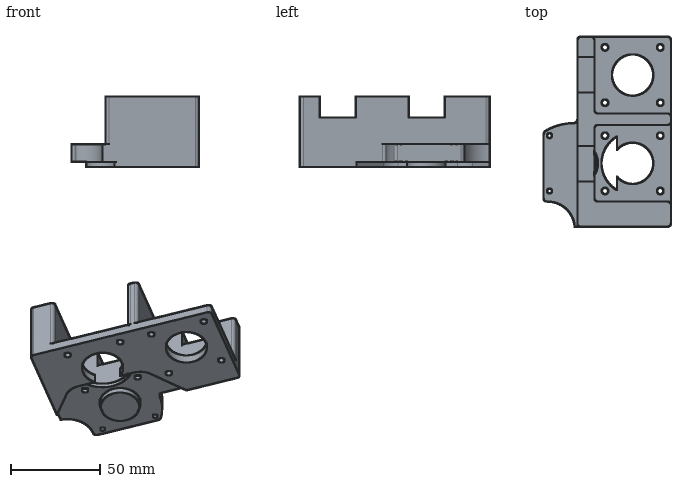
import cadquery as cq
import math

length_y = 106.5
total_x = 71.5
height = 39.7
wall_x = 19.0
wall_thickness = 9.6
wall_inner_x = wall_x + wall_thickness
plate_thickness = 6.0
corner_radius = 2.0

motor_x = 50.0
front_motor_y = 35.6
rear_motor_y = 85.0
bay_width = 42.9
rear_bay_start = 63.5
motor_bore = 23.0
screw_spacing = 31.0
screw_hole = 3.5

notch_width = 20.0
notch_depth = 11.8
notch_starts = (25.3, 75.2)

flange_bottom = 3.0
flange_top = 13.0
flange_hole = 2.7
flange_hole_x = 3.4
scallop_radius = 15.0
scallop_x = 2.5
scallop_y = -1.0
flange_rear_y = 53.7
flange_shoulder = (1.2, 53.8)
flange_crown = (6.9, 56.4)
flange_neck = (17.3, 58.1)
flange_root_y = 60.2

recess_depth = flange_bottom
recess_end_x = 41.1
recess_rear_wall_y = 74.8
recess_rear_corner_y = 56.4
recess_front_corner_y = 12.9
recess_front_x = 24.2
recess_corner_radius = 10.6
boss_diameter = 21.5
boss_pocket_diameter = 23.0
crescent_radius = 17.4


def box(x0, x1, y0, y1, z0, z1):
    """Axis-aligned block between two opposite corners."""
    return cq.Workplane("XY").box(x1 - x0, y1 - y0, z1 - z0, centered=False).translate((x0, y0, z0))


def cylinder(x, y, diameter, z0, z1):
    """Vertical cylinder between two heights."""
    return cq.Workplane("XY", origin=(x, y, z0)).circle(diameter / 2).extrude(z1 - z0)


def make_body():
    """Base plate with the upright wall, the front block and the middle rib."""
    plate = box(wall_x, total_x, 0, length_y, 0, plate_thickness).edges("|Z").fillet(corner_radius)
    upright = box(wall_x, total_x, 0, length_y, 0, height)
    for start, end in (
        (front_motor_y - bay_width / 2, front_motor_y + bay_width / 2),
        (rear_bay_start, length_y),
    ):
        upright = upright.cut(box(wall_inner_x, total_x, start, end, 0, height))
    upright = upright.edges("|Z").fillet(corner_radius)
    for start in notch_starts:
        notch = box(wall_x, wall_inner_x, start, start + notch_width, height - notch_depth, height)
        upright = upright.cut(notch)
    return plate.union(upright)


def make_flange():
    """Low side flange with a scalloped front and a curved rear edge."""
    scallop_end_x = scallop_x + math.sqrt(scallop_radius**2 - scallop_y**2)
    flange_front_y = scallop_y + scallop_radius
    arc_offset = scallop_radius * math.sqrt(0.5)
    fillet_offset = corner_radius * (1 - math.sqrt(0.5))
    return (
        cq.Workplane("XY", origin=(0, 0, flange_bottom))
        .moveTo(wall_inner_x, 0)
        .lineTo(scallop_end_x, 0)
        .threePointArc(
            (scallop_x + arc_offset, scallop_y + arc_offset),
            (scallop_x, flange_front_y),
        )
        .lineTo(corner_radius, flange_front_y)
        .threePointArc(
            (fillet_offset, flange_front_y + fillet_offset),
            (0, flange_front_y + corner_radius),
        )
        .lineTo(0, flange_rear_y - corner_radius)
        .threePointArc((fillet_offset / 2, flange_rear_y - corner_radius / 2), flange_shoulder)
        .threePointArc(flange_crown, flange_neck)
        .threePointArc((wall_x - fillet_offset, flange_neck[1] + fillet_offset), (wall_x, flange_root_y))
        .lineTo(wall_inner_x, flange_root_y)
        .close()
        .extrude(flange_top - flange_bottom)
    )


def make_recess():
    """Underside recess, open through the outer wall and the front face."""
    return (
        cq.Workplane("XY")
        .polyline([
            (0, 0),
            (recess_front_x, 0),
            (recess_end_x, recess_front_corner_y),
            (recess_end_x, recess_rear_corner_y),
            (wall_x, recess_rear_wall_y),
            (0, recess_rear_wall_y),
        ])
        .close()
        .extrude(recess_depth)
        .edges("|Z and >X")
        .fillet(recess_corner_radius)
    )


def make_crescent():
    """Part of a disc about the front motor that lies beyond the recess end."""
    disc = cylinder(motor_x, front_motor_y, 2 * crescent_radius, 0, plate_thickness)
    return disc.intersect(box(0, recess_end_x, 0, length_y, 0, plate_thickness))


result = make_body().union(make_flange()).cut(make_recess()).cut(make_crescent())

result = result.cut(cylinder(wall_x, front_motor_y, boss_pocket_diameter, 0, plate_thickness))
result = result.union(cylinder(wall_x, front_motor_y, boss_diameter, 0, plate_thickness))

half_spacing = screw_spacing / 2
for motor_y in (front_motor_y, rear_motor_y):
    result = result.cut(cylinder(motor_x, motor_y, motor_bore, 0, plate_thickness))
    for x in (motor_x - half_spacing, motor_x + half_spacing):
        for y in (motor_y - half_spacing, motor_y + half_spacing):
            result = result.cut(cylinder(x, y, screw_hole, 0, plate_thickness))

for y in (front_motor_y - half_spacing, front_motor_y + half_spacing):
    result = result.cut(cylinder(flange_hole_x, y, flange_hole, flange_bottom, flange_top))